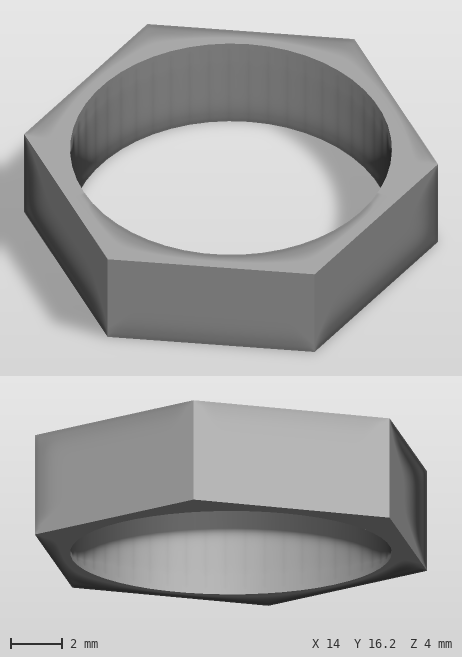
import cadquery as cq

width_across_corners = 16.17
height = 4.0
bore_diameter = 12.5
corner_angle = 90.0

hexagon = (
    cq.Workplane("XY")
    .polygon(6, width_across_corners)
    .extrude(height)
    .rotate((0, 0, 0), (0, 0, 1), corner_angle)
)

bore = cq.Workplane("XY").circle(bore_diameter / 2).extrude(height)

result = hexagon.cut(bore)